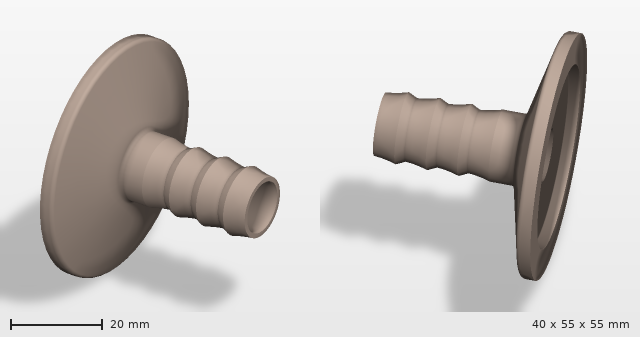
import cadquery as cq
import math

total_length = 40.0
flange_radius = 55 / 2
bore_radius = 12.0 / 2

rim_width = 2.3
rim_fillet = 1.0
cone_angle = 15
recess_radius = 41.2 / 2
recess_depth = 2.6
recess_fillet = 0.3

tail_radius = 16.0 / 2
neck_fillet = rim_fillet
barb_root_radius = 7.05
taper_count = 4
barb_pitch = 7.05
barb_taper_length = 5.0
taper_arc_dip = 0.14
first_taper_start = total_length - (taper_count - 1) * barb_pitch - barb_taper_length

cone_slope = math.tan(math.radians(cone_angle))
cone_rim_x = rim_width + rim_fillet * math.cos(math.radians(cone_angle))
cone_rim_radius = flange_radius - rim_fillet * (1 - math.sin(math.radians(cone_angle)))
neck_x = cone_rim_x + (cone_rim_radius - tail_radius) * cone_slope


def make_flange():
    """Disc with a rounded rim and a conical back, running into the straight neck."""
    arc_angle = math.radians((90 + cone_angle) / 2)
    arc_middle = (
        rim_width + rim_fillet * math.cos(arc_angle),
        flange_radius - rim_fillet * (1 - math.sin(arc_angle)),
    )
    tangent_length = neck_fillet * math.tan(math.radians(90 - cone_angle) / 2)
    fillet_start = (
        neck_x - tangent_length * math.sin(math.radians(cone_angle)),
        tail_radius + tangent_length * math.cos(math.radians(cone_angle)),
    )
    fillet_end = (neck_x + tangent_length, tail_radius)
    fillet_middle = (
        fillet_end[0] - neck_fillet * math.cos(arc_angle),
        tail_radius + neck_fillet * (1 - math.sin(arc_angle)),
    )
    profile = (
        cq.Workplane("XY")
        .lineTo(0, flange_radius)
        .lineTo(rim_width, flange_radius)
        .threePointArc(arc_middle, (cone_rim_x, cone_rim_radius))
        .lineTo(*fillet_start)
        .threePointArc(fillet_middle, fillet_end)
        .lineTo(first_taper_start, tail_radius)
        .lineTo(first_taper_start, 0)
        .close()
    )
    return profile.revolve(360, (0, 0, 0), (1, 0, 0))


def make_barbs():
    """Row of concave tapers joined by short, steep rises; the last taper ends at the tip."""
    profile = cq.Workplane("XY").moveTo(first_taper_start, 0).lineTo(first_taper_start, tail_radius)
    middle_radius = (tail_radius + barb_root_radius) / 2
    for index in range(taper_count):
        crest_x = first_taper_start + index * barb_pitch
        if index > 0:
            profile = profile.lineTo(crest_x, tail_radius)
        profile = profile.threePointArc(
            (crest_x + barb_taper_length / 2, middle_radius - taper_arc_dip),
            (crest_x + barb_taper_length, barb_root_radius),
        )
    profile = profile.lineTo(total_length, 0).close()
    return profile.revolve(360, (0, 0, 0), (1, 0, 0))


def make_recess():
    """Round pocket in the flange face with a rounded floor edge."""
    pocket = cq.Workplane("YZ").circle(recess_radius).extrude(recess_depth)
    return pocket.faces(">X").edges().fillet(recess_fillet)


bore = cq.Workplane("YZ").circle(bore_radius).extrude(total_length)

result = make_flange().union(make_barbs()).cut(make_recess()).cut(bore)